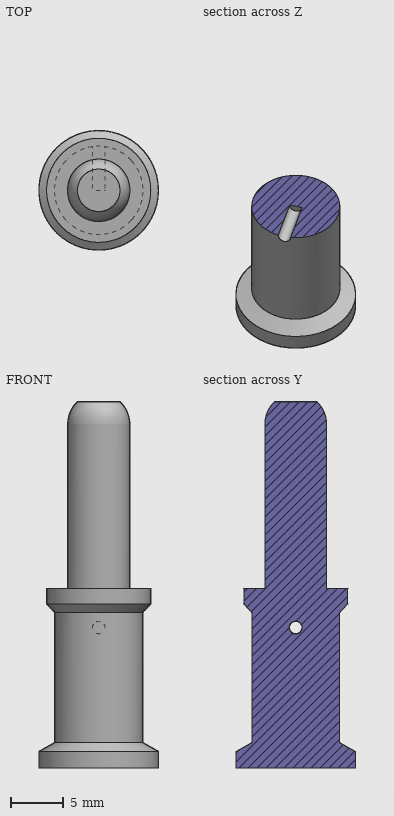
import cadquery as cq
import math

total_height = 35.2

foot_radius = 11.5 / 2
foot_rim_height = 1.6
foot_cone_top = 2.45

barrel_radius = 8.5 / 2

collar_radius = 10.0 / 2
collar_cone_bottom = 14.95
collar_rim_bottom = 15.75
collar_top = 17.25

pin_radius = 6.0 / 2
tip_height = 2.2

side_hole_diameter = 1.2
side_hole_height = 13.5


def turned_body():
    """Revolve the half profile: foot, barrel, collar and pin with a truncated spherical tip."""
    tip_base = total_height - tip_height
    tip_flat_radius = math.sqrt(pin_radius**2 - tip_height**2)
    half_angle = math.asin(tip_height / pin_radius) / 2
    tip_middle = (
        pin_radius * math.cos(half_angle),
        tip_base + pin_radius * math.sin(half_angle),
    )
    profile = (
        cq.Workplane("XZ")
        .lineTo(foot_radius, 0)
        .lineTo(foot_radius, foot_rim_height)
        .lineTo(barrel_radius, foot_cone_top)
        .lineTo(barrel_radius, collar_cone_bottom)
        .lineTo(collar_radius, collar_rim_bottom)
        .lineTo(collar_radius, collar_top)
        .lineTo(pin_radius, collar_top)
        .lineTo(pin_radius, tip_base)
        .threePointArc(tip_middle, (tip_flat_radius, total_height))
        .lineTo(0, total_height)
        .close()
    )
    return profile.revolve(360, (0, 0, 0), (0, 1, 0))


def side_hole():
    """Cylinder running from the barrel axis out through its +Y side."""
    return (
        cq.Workplane("XZ")
        .center(0, side_hole_height)
        .circle(side_hole_diameter / 2)
        .extrude(-foot_radius)
    )


result = turned_body().cut(side_hole())